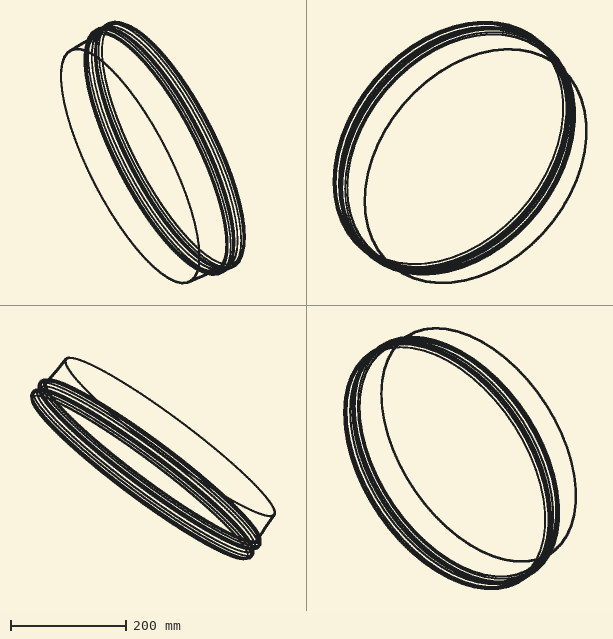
import cadquery as cq
import math

outer_diameter = 476.5
length = 89.0
wall = 2.0

groove_diameter = 467.5
bead_flat = 6.0
groove_flat = 6.0

spigot_root_diameter = 460.0
spigot_tip_diameter = 454.0

bead_radius = outer_diameter / 2
groove_radius = groove_diameter / 2
root_radius = spigot_root_diameter / 2
tip_radius = spigot_tip_diameter / 2
flank = bead_radius - groove_radius
bead_length = bead_flat + 2 * flank
front_bead_start = bead_length + groove_flat
shoulder = front_bead_start + bead_length
back = length / 2

flank_angle = math.radians(45)
corner_shift = wall * math.tan(flank_angle / 2)

rim_inner_point = (groove_radius - wall * math.cos(flank_angle), wall * math.sin(flank_angle))


def bead_points(start, inset=0, shift=0):
    """Profile of one bead as (radius, distance from the back face)."""
    end = start + bead_length
    return [
        (groove_radius - inset, start + shift),
        (bead_radius - inset, start + flank + shift),
        (bead_radius - inset, end - flank - shift),
        (groove_radius - inset, end - shift),
    ]


outer_profile = bead_points(0) + bead_points(front_bead_start)
outer_profile += [(root_radius, shoulder), (tip_radius, length)]

back_bead_bore = bead_points(0, wall, corner_shift)[1:]
front_bead_bore = bead_points(front_bead_start, wall, corner_shift)[:-1]
inner_profile = [rim_inner_point] + back_bead_bore + front_bead_bore
inner_profile += [
    (groove_radius - corner_shift, shoulder - wall),
    (root_radius - wall, shoulder - wall),
    (tip_radius - wall, length),
]

section = [(radius, back - depth) for radius, depth in outer_profile + inner_profile[::-1]]
axis_start = (0, 0, 0)
axis_end = (0, 1, 0)
result = cq.Workplane("XY").polyline(section).close().revolve(360, axis_start, axis_end)